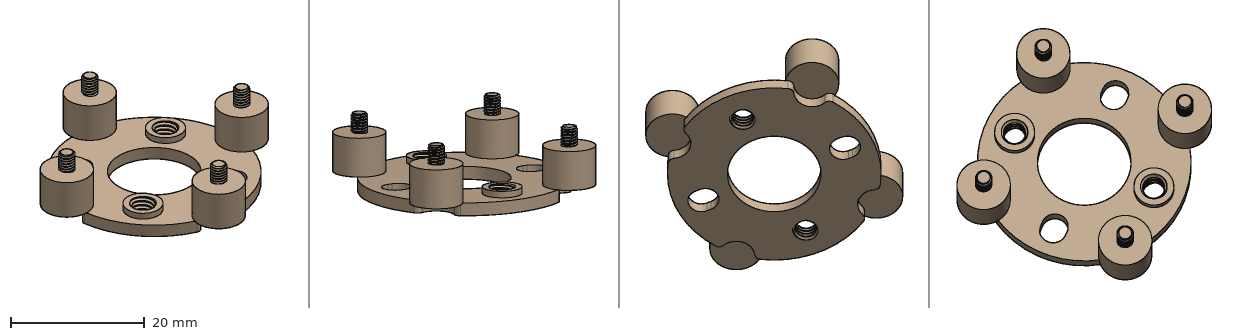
import cadquery as cq
import math

PLATE_RADIUS = 16.0
PLATE_THICKNESS = 2.0
BORE_DIAMETER = 14.0

NOTCH_RADIUS = 2.75
NOTCH_CORNER_RADIUS = 1.0

HOLE_PATTERN_SIDE = 16.0
BOSS_RADIUS_FROM_CENTRE = HOLE_PATTERN_SIDE / math.sqrt(2)
BOSS_DIAMETER = 6.0
BOSS_HEIGHT = 1.0
BOSS_ANGLES = (135, 315)
BOSS_THREAD_DIAMETER = 4.0
BOSS_THREAD_PITCH = 0.7
BOSS_THREAD_START_ANGLE = 145

SLOT_WIDTH = 4.0
SLOT_INNER_CENTRE = BOSS_RADIUS_FROM_CENTRE
SLOT_OUTER_CENTRE = 12.0
SLOT_ANGLES = (45, 225)

STANDOFF_SQUARE_SIDE = 23.0
STANDOFF_CENTRE_RADIUS = STANDOFF_SQUARE_SIDE / math.sqrt(2)
STANDOFF_DIAMETER = 8.0
STANDOFF_HEIGHT = 6.0
STANDOFF_ANGLES = (0, 90, 180, 270)
STUD_LENGTH = 3.0
STUD_THREAD_DIAMETER = 2.5
STUD_THREAD_PITCH = 0.45
STUD_OVERRUN_TURNS = 1.5
STUD_TIP_CHAMFER = 0.3

THREAD_DEPTH_RATIO = 0.5413
CREST_FLAT_RATIO = 1 / 8
ROOT_FLAT_RATIO = 1 / 4
THREAD_OVERLAP_RATIO = 0.1

THREAD_CLEARANCE = 0.01


def polar(radius, angle):
    """Point in the XY plane at a radius and an angle in degrees."""
    return (radius * math.cos(math.radians(angle)), radius * math.sin(math.radians(angle)))


def minor_radius(diameter, pitch):
    return diameter / 2 - THREAD_DEPTH_RATIO * pitch


def helical_thread(diameter, pitch, length):
    """Right-handed helical ridge around Z, from just inside the minor radius to the major radius."""
    major = diameter / 2
    minor = minor_radius(diameter, pitch)
    inner = minor - THREAD_OVERLAP_RATIO * pitch
    crest_half = CREST_FLAT_RATIO * pitch / 2
    root_half = (1 - ROOT_FLAT_RATIO) * pitch / 2
    inner_half = root_half + (minor - inner) * (root_half - crest_half) / (major - minor)
    profile = (
        cq.Workplane("XZ")
        .moveTo(inner, -inner_half)
        .lineTo(major, -crest_half)
        .lineTo(major, crest_half)
        .lineTo(inner, inner_half)
        .close()
    )
    helix = cq.Wire.makeHelix(pitch, length, minor)
    return profile.sweep(cq.Workplane(helix), isFrenet=True)


def notch_cutter():
    """Round notch at the +X rim, flared out to the rim by tangent rounded corners."""
    centre_distance = PLATE_RADIUS - NOTCH_CORNER_RADIUS
    notch_distance = NOTCH_RADIUS + NOTCH_CORNER_RADIUS
    corner_x = (
        centre_distance**2 - notch_distance**2 + STANDOFF_CENTRE_RADIUS**2
    ) / (2 * STANDOFF_CENTRE_RADIUS)
    corner_y = math.sqrt(centre_distance**2 - corner_x**2)

    rim_scale = PLATE_RADIUS / centre_distance
    rim_x = corner_x * rim_scale
    rim_y = corner_y * rim_scale

    towards_notch = NOTCH_CORNER_RADIUS / notch_distance
    tangent_x = corner_x + (STANDOFF_CENTRE_RADIUS - corner_x) * towards_notch
    tangent_y = corner_y * (1 - towards_notch)

    end_angle = math.atan2(rim_y - corner_y, rim_x - corner_x)
    start_angle = math.atan2(tangent_y - corner_y, tangent_x - corner_x)
    middle_angle = (end_angle + start_angle) / 2
    middle_x = corner_x + NOTCH_CORNER_RADIUS * math.cos(middle_angle)
    middle_y = corner_y + NOTCH_CORNER_RADIUS * math.sin(middle_angle)

    outside_x = STANDOFF_CENTRE_RADIUS + STANDOFF_DIAMETER / 2
    return (
        cq.Workplane("XY")
        .moveTo(outside_x, rim_y)
        .lineTo(rim_x, rim_y)
        .threePointArc((middle_x, middle_y), (tangent_x, tangent_y))
        .threePointArc((STANDOFF_CENTRE_RADIUS - NOTCH_RADIUS, 0), (tangent_x, -tangent_y))
        .threePointArc((middle_x, -middle_y), (rim_x, -rim_y))
        .lineTo(outside_x, -rim_y)
        .close()
        .extrude(PLATE_THICKNESS)
    )


def slot_cutter():
    """Radial slot along +X through the plate."""
    slot_spacing = SLOT_OUTER_CENTRE - SLOT_INNER_CENTRE
    return (
        cq.Workplane("XY")
        .center((SLOT_INNER_CENTRE + SLOT_OUTER_CENTRE) / 2, 0)
        .slot2D(slot_spacing + SLOT_WIDTH, SLOT_WIDTH)
        .extrude(PLATE_THICKNESS)
    )


def boss_drill():
    """Core hole on the Z axis through plate and boss, with a conical lead-in at the top."""
    depth = PLATE_THICKNESS + BOSS_HEIGHT
    mouth_radius = BOSS_THREAD_DIAMETER / 2
    core_radius = minor_radius(BOSS_THREAD_DIAMETER, BOSS_THREAD_PITCH)
    lead_in_depth = mouth_radius - core_radius
    return (
        cq.Workplane("XZ")
        .lineTo(core_radius, 0)
        .lineTo(core_radius, depth - lead_in_depth)
        .lineTo(mouth_radius, depth)
        .lineTo(0, depth)
        .close()
        .revolve(360, (0, 0, 0), (0, 1, 0))
    )


def boss_thread():
    """Thread on the Z axis that runs one pitch past both ends of the boss hole."""
    length = PLATE_THICKNESS + BOSS_HEIGHT + 2 * BOSS_THREAD_PITCH
    thread = helical_thread(BOSS_THREAD_DIAMETER, BOSS_THREAD_PITCH, length)
    turned_thread = thread.rotate((0, 0, 0), (0, 0, 1), BOSS_THREAD_START_ANGLE)
    return turned_thread.translate((0, 0, -BOSS_THREAD_PITCH))


def make_plate():
    """Ring plate with rim notches, screw slots and two threaded bosses."""
    plate = (
        cq.Workplane("XY")
        .circle(PLATE_RADIUS)
        .circle(BORE_DIAMETER / 2)
        .extrude(PLATE_THICKNESS)
    )
    notch = notch_cutter()
    for angle in STANDOFF_ANGLES:
        plate = plate.cut(notch.rotate((0, 0, 0), (0, 0, 1), angle))

    slot = slot_cutter()
    for angle in SLOT_ANGLES:
        plate = plate.cut(slot.rotate((0, 0, 0), (0, 0, 1), angle))

    boss = cq.Workplane("XY").circle(BOSS_DIAMETER / 2).extrude(PLATE_THICKNESS + BOSS_HEIGHT)
    drill = boss_drill()
    thread = boss_thread()
    for angle in BOSS_ANGLES:
        x, y = polar(BOSS_RADIUS_FROM_CENTRE, angle)
        plate = plate.union(boss.translate((x, y, 0)))
        plate = plate.cut(drill.translate((x, y, 0)))
        plate = plate.cut(thread.translate((x, y, 0)))
    return plate


def make_standoff():
    """Cylindrical standoff on the Z axis, resting on Z = 0, with a threaded stud on top."""
    body = cq.Workplane("XY").circle(STANDOFF_DIAMETER / 2).extrude(STANDOFF_HEIGHT)

    core_radius = minor_radius(STUD_THREAD_DIAMETER, STUD_THREAD_PITCH)
    core = cq.Workplane("XY").circle(core_radius).extrude(STUD_LENGTH)
    overrun = STUD_OVERRUN_TURNS * STUD_THREAD_PITCH
    thread = helical_thread(STUD_THREAD_DIAMETER, STUD_THREAD_PITCH, STUD_LENGTH + 2 * overrun)
    outline = (
        cq.Workplane("XY")
        .circle(STUD_THREAD_DIAMETER / 2 + THREAD_CLEARANCE)
        .extrude(STUD_LENGTH)
        .faces(">Z")
        .chamfer(STUD_TIP_CHAMFER)
    )
    thread = thread.translate((0, 0, -overrun)).intersect(outline)
    stud = core.intersect(outline).union(thread)
    return body.union(stud.translate((0, 0, STANDOFF_HEIGHT)))


plate = make_plate()

standoff = make_standoff()
standoffs = []
for angle in STANDOFF_ANGLES:
    x, y = polar(STANDOFF_CENTRE_RADIUS, angle)
    turned_standoff = standoff.rotate((0, 0, 0), (0, 0, 1), angle)
    standoffs.append(turned_standoff.translate((x, y, PLATE_THICKNESS)))

result = cq.Compound.makeCompound([plate.val(), *[body.val() for body in standoffs]])